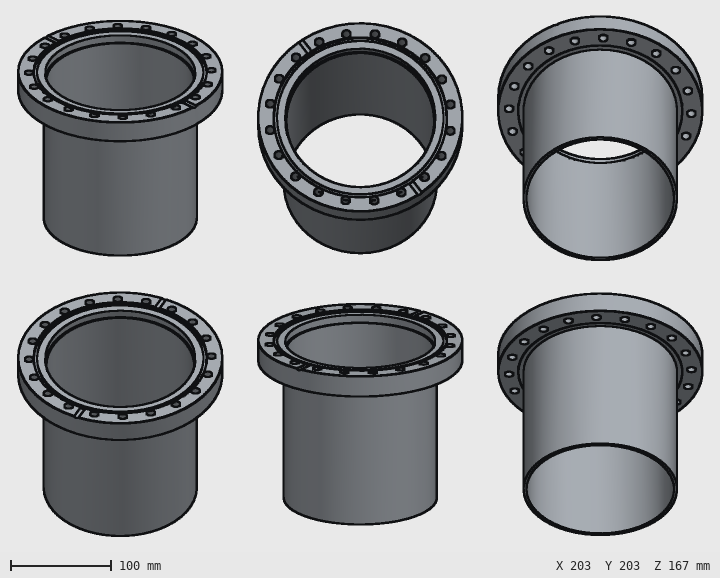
import cadquery as cq

flange_diameter = 203.0
overall_height = 167.0
flange_thickness = 22.0
flange_bottom = overall_height - flange_thickness
edge_chamfer = 0.5

tube_diameter = 152.5
tube_bore = 146.4
tube_top_depth = 9.7
tube_top = overall_height - tube_top_depth

flange_bore = 172.1
ring_diameter = 171.3
ring_bore = 149.0
knife_diameter = 165.2
knife_depth = 0.6
face_depth = 1.5
root_depth = 1.8
shoulder_diameter = 162.5
shoulder_clearance = (flange_bore - ring_diameter) / 2
shoulder_height = flange_thickness / 2

bolt_count = 20
bolt_circle = 181.0
bolt_hole_diameter = 8.5
bolt_step = 360 / bolt_count

groove_radius = 2.8
groove_depth = 1.5


def make_tube():
    """Plain pipe that reaches up into the sealing ring."""
    return cq.Workplane("XY").circle(tube_diameter / 2).circle(tube_bore / 2).extrude(tube_top)


def make_outer_flange():
    """Bolt flange with a stepped bore, bolt holes and two leak-check grooves."""
    flange = (
        cq.Workplane("XY", origin=(0, 0, flange_bottom))
        .circle(flange_diameter / 2)
        .extrude(flange_thickness)
        .edges()
        .chamfer(edge_chamfer)
    )
    through_bore = (
        cq.Workplane("XY", origin=(0, 0, flange_bottom))
        .circle(shoulder_diameter / 2 + shoulder_clearance)
        .extrude(flange_thickness)
    )
    ring_seat = (
        cq.Workplane("XY", origin=(0, 0, flange_bottom + shoulder_height))
        .circle(flange_bore / 2)
        .extrude(flange_thickness - shoulder_height)
    )
    bolt_holes = (
        cq.Workplane("XY", origin=(0, 0, flange_bottom))
        .polarArray(bolt_circle / 2, bolt_step / 2, 360, bolt_count)
        .circle(bolt_hole_diameter / 2)
        .extrude(flange_thickness)
    )
    grooves = (
        cq.Workplane("YZ", origin=(0, 0, overall_height - groove_depth + groove_radius))
        .circle(groove_radius)
        .extrude(flange_diameter / 2, both=True)
    )
    return flange.cut(through_bore).cut(ring_seat).cut(bolt_holes).cut(grooves)


def make_sealing_ring():
    """Stepped ring with a knife edge on top and a socket for the tube."""
    profile = [
        (tube_diameter / 2, flange_bottom),
        (shoulder_diameter / 2, flange_bottom),
        (shoulder_diameter / 2, flange_bottom + shoulder_height),
        (ring_diameter / 2, flange_bottom + shoulder_height),
        (ring_diameter / 2, overall_height - root_depth),
        (knife_diameter / 2, overall_height - knife_depth),
        (knife_diameter / 2, overall_height - face_depth),
        (ring_bore / 2, overall_height - face_depth),
        (ring_bore / 2, tube_top),
        (tube_diameter / 2, tube_top),
    ]
    return cq.Workplane("XZ").polyline(profile).close().revolve(360, (0, 0), (0, 1))


tube = make_tube()
outer_flange = make_outer_flange()
sealing_ring = make_sealing_ring()

result = cq.Compound.makeCompound([tube.val(), outer_flange.val(), sealing_ring.val()])